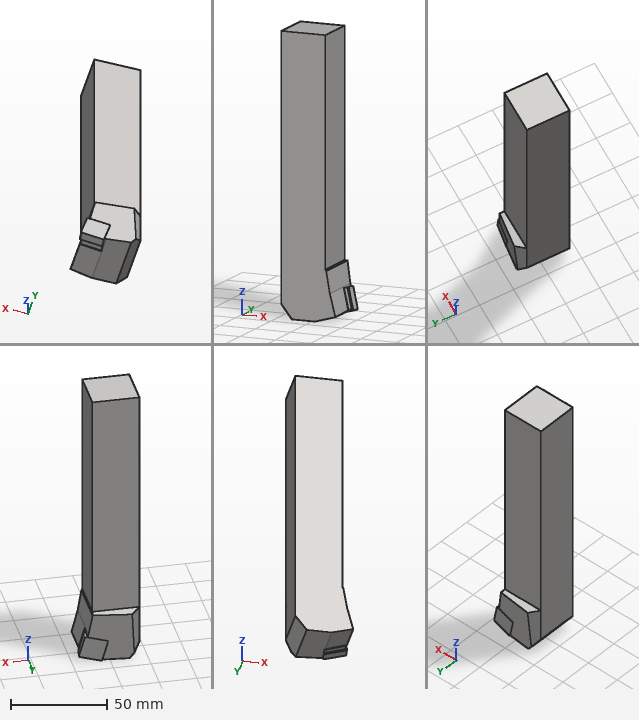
import cadquery as cq
import math

shank_size = 25.0
overall_height = 153.6
holder_bottom = 0.6
chamfer_width = 6.0
chamfer_top = 8.3
head_start = 28.9
neck_x = 25.5
neck_bottom = 28.1
flank_bend_x = 27.5
flank_bend_z = 16.5
nose_x = 30.7
nose_z = 4.0
bottom_end_x = 19.2

ridge_y = 30.0
ridge_z = 27.6
ridge_x = ridge_y - shank_size
rake_slope_x = 0.11
rake_slope_z = 0.064

insert_side = 12.6
insert_thickness = 4.8
insert_corner_radius = 0.8
insert_angle = 15.0
insert_tip_x = 32.4
insert_tip_z = 3.0

seat_depth = 3.7
seat_inset = 0.9
relief_overhang = 1.5

margin = 61.5


def rake_height(x, z):
    """Y of the sloping rake face at a given X and Z."""
    return ridge_y - rake_slope_x * (x - ridge_x) + rake_slope_z * (z - ridge_z)


def rake_plane():
    """Plane on the rake face at the insert tip, with its x axis along the lower insert edge."""
    edge_x = math.cos(math.radians(insert_angle))
    edge_z = math.sin(math.radians(insert_angle))
    edge_y = rake_slope_z * edge_z - rake_slope_x * edge_x
    return cq.Plane(
        origin=(insert_tip_x, rake_height(insert_tip_x, insert_tip_z), insert_tip_z),
        xDir=(edge_x, edge_y, edge_z),
        normal=(rake_slope_x, 1, -rake_slope_z),
    )


def plate(depth, thickness, inset):
    """Square plate parallel to the rake face, inset at its two outer sides."""
    side = insert_side - inset
    center = -inset - side / 2
    return (
        cq.Workplane(rake_plane())
        .workplane(offset=-depth)
        .center(center, center)
        .rect(side, side)
        .extrude(-thickness)
    )


def make_insert():
    corner_edges = cq.selectors.ParallelDirSelector(rake_plane().zDir)
    return plate(0, insert_thickness, 0).edges(corner_edges).fillet(insert_corner_radius)


def side_profile(top, depth):
    """Holder outline in XZ up to a given height, extruded from Y = 0 to the given depth."""
    return (
        cq.Workplane("XZ")
        .moveTo(0, top)
        .lineTo(0, chamfer_top)
        .lineTo(chamfer_width, holder_bottom)
        .lineTo(bottom_end_x, holder_bottom)
        .lineTo(nose_x, nose_z)
        .lineTo(flank_bend_x, flank_bend_z)
        .lineTo(neck_x, neck_bottom)
        .lineTo(shank_size, head_start)
        .lineTo(shank_size, top)
        .close()
        .extrude(-depth)
    )


def make_head():
    """Rear part of the head, trimmed by its top, left side and rake face."""
    slope = (head_start - ridge_z) / (ridge_y - shank_size)
    below_top = (
        cq.Workplane("YZ")
        .moveTo(0, 0)
        .lineTo(margin, 0)
        .lineTo(margin, head_start - slope * (margin - shank_size))
        .lineTo(shank_size, head_start)
        .lineTo(0, head_start)
        .close()
        .extrude(margin)
    )
    right_of_side = (
        cq.Workplane("XY")
        .polyline([(0, 0), (0, shank_size), (margin, shank_size + margin), (margin, 0)])
        .close()
        .extrude(margin)
    )
    under_rake = cq.Workplane(rake_plane()).rect(2 * margin, 2 * margin).extrude(-margin)
    profile = side_profile(overall_height, margin)
    return profile.intersect(below_top).intersect(right_of_side).intersect(under_rake)


def make_holder(insert):
    holder = side_profile(overall_height, shank_size).union(make_head())
    holder = holder.cut(plate(insert_thickness, seat_depth, -relief_overhang))
    holder = holder.union(plate(insert_thickness, seat_depth, seat_inset))
    return holder.cut(insert)


insert = make_insert()
holder = make_holder(insert)
result = cq.Compound.makeCompound([holder.val(), insert.val()])